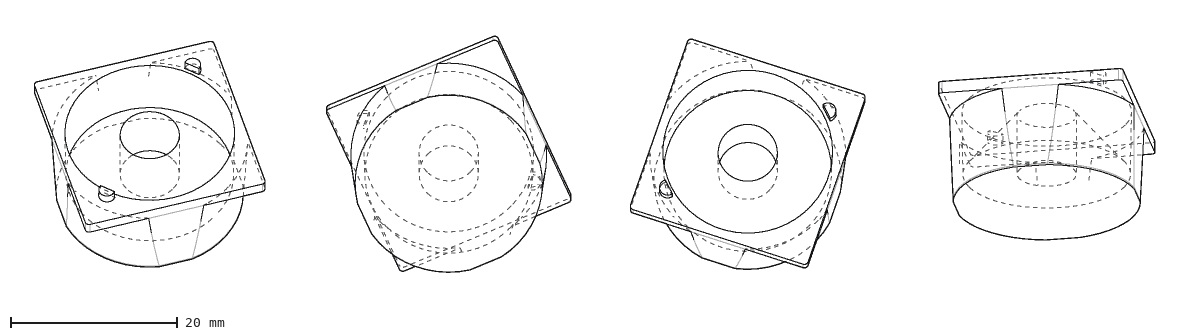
import cadquery as cq
import math

flange_side = 22.5
flange_thickness = 1.5
corner_radius = 0.47

total_height = 13.0
pin_height = 1.15
flange_top = total_height - pin_height
flange_bottom = flange_top - flange_thickness
foot_height = 0.2
cup_top_radius = 11.76
cup_foot_radius = 11.25
flat_draft = 1.1

cavity_top_radius = 10.19
cavity_depth = 8.16
cavity_draft = 0.8
cavity_floor = flange_top - cavity_depth
cavity_floor_radius = cavity_top_radius - cavity_depth * math.tan(math.radians(cavity_draft))
cone_drop = 0.45
cone_top = flange_top - cone_drop
bore_radius = 3.55
dome_height = 1.3

pin_radius = 1.0
pin_distance = 10.75
pin_flat_distance = 10.57
pin_draft = 1.0
pin_angles = (135, 315)


def make_cup():
    """Tapered round body trimmed by a tapered square, on a short straight foot."""
    round_body = (
        cq.Workplane("XZ")
        .polyline([
            (0, 0),
            (cup_foot_radius, 0),
            (cup_foot_radius, foot_height),
            (cup_top_radius, flange_bottom),
            (0, flange_bottom),
        ])
        .close()
        .revolve(360, (0, 0, 0), (0, 1, 0))
    )
    taper_height = flange_bottom - foot_height
    foot_side = flange_side - 2 * taper_height * math.tan(math.radians(flat_draft))
    tapered_square = (
        cq.Workplane("XY")
        .workplane(offset=flange_bottom)
        .rect(flange_side, flange_side)
        .extrude(-taper_height, taper=flat_draft)
    )
    foot_square = cq.Workplane("XY").rect(foot_side, foot_side).extrude(foot_height)
    return round_body.intersect(tapered_square.union(foot_square))


def make_flange():
    return (
        cq.Workplane("XY")
        .workplane(offset=flange_bottom)
        .rect(flange_side, flange_side)
        .extrude(flange_thickness)
        .edges("|Z")
        .fillet(corner_radius)
    )


def make_cavity():
    """Space inside the cup: outside the cone, over its rim, and down the bore to the dome."""
    dome_radius = (bore_radius**2 + dome_height**2) / (2 * dome_height)
    dome_apex = cavity_floor + dome_height
    half_angle = math.asin(bore_radius / dome_radius) / 2
    dome_middle = (
        dome_radius * math.sin(half_angle),
        dome_apex - dome_radius * (1 - math.cos(half_angle)),
    )
    profile = (
        cq.Workplane("XZ")
        .moveTo(0, flange_top)
        .lineTo(cavity_top_radius, flange_top)
        .lineTo(cavity_floor_radius, cavity_floor)
        .lineTo(bore_radius, cone_top)
        .lineTo(bore_radius, cavity_floor)
        .threePointArc(dome_middle, (0, dome_apex))
        .close()
    )
    return profile.revolve(360, (0, 0, 0), (0, 1, 0))


def make_pin(diagonal_angle):
    flat_offset = pin_flat_distance - pin_distance
    half_flat = math.sqrt(pin_radius**2 - flat_offset**2)
    return (
        cq.Workplane("XY")
        .workplane(offset=flange_top)
        .moveTo(pin_flat_distance, -half_flat)
        .threePointArc((pin_distance + pin_radius, 0), (pin_flat_distance, half_flat))
        .close()
        .extrude(pin_height, taper=pin_draft)
        .rotate((0, 0, 0), (0, 0, 1), diagonal_angle)
    )


result = make_cup().union(make_flange()).cut(make_cavity())
for angle in pin_angles:
    result = result.union(make_pin(angle))